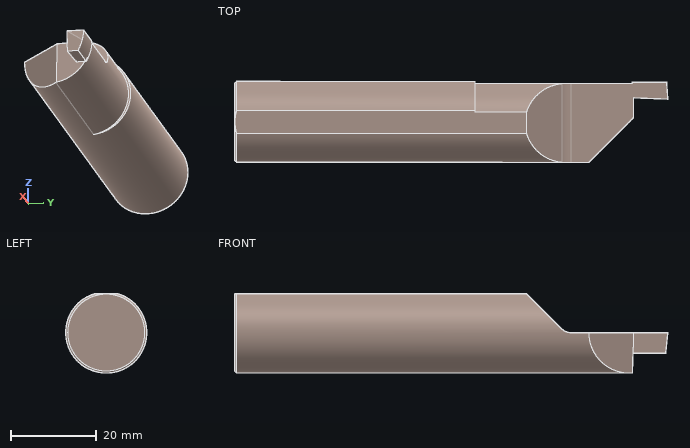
import cadquery as cq
import math

shank_diameter = 19.05
shank_radius = shank_diameter / 2
rear_chamfer = 0.5
flat_height = 9.135
overall_length = 101.6

relief_start = 56.4
relief_side = 9.0
relief_flat_edge = 2.3

floor_height = 0.0
ramp_top = 68.45
ramp_foot = ramp_top + flat_height - floor_height
ramp_fillet = 3.0

nose_end = 93.55
nose_clearance_angle = 1.5
nose_bevel = 10.5

tip_outer_radius = 9.3
tip_root_inner = 5.6
tip_end_inner = 5.3
tip_depth = 4.9
tip_clearance_angle = 6.0
tip_edge_skew = 0.3
tip_overlap = 0.35
tip_root = nose_end - tip_overlap

margin = 5.0


def make_shank():
    """Chamfered bar with the clamping flat along its top."""
    bar = cq.Workplane("YZ").circle(shank_radius).extrude(nose_end)
    bar = bar.faces("<X").chamfer(rear_chamfer)
    above_flat = (
        cq.Workplane("XY", origin=(0, 0, flat_height))
        .rect(2 * overall_length, 2 * shank_diameter)
        .extrude(margin)
    )
    return bar.cut(above_flat)


def make_relief_cutter():
    """Everything outside the relief cylinder, ahead of the relief step."""
    offset = (relief_flat_edge**2 + flat_height**2 - relief_side**2) / (2 * (relief_side - relief_flat_edge))
    radius = relief_side + offset
    start_plane = cq.Plane(origin=(relief_start, -offset, 0), xDir=(0, -1, 0), normal=(1, 0, 0))
    return (
        cq.Workplane(start_plane)
        .circle(radius + margin)
        .circle(radius)
        .extrude(overall_length)
    )


def make_top_cutter():
    """Space above the ramp and the floor, with the filleted inner corner."""
    top = flat_height + margin
    cutter = (
        cq.Workplane("XZ")
        .moveTo(ramp_foot, floor_height)
        .lineTo(overall_length + margin, floor_height)
        .lineTo(overall_length + margin, top)
        .lineTo(ramp_foot - (top - floor_height), top)
        .close()
        .extrude(shank_diameter, both=True)
    )
    corner = cq.selectors.NearestToPointSelector((ramp_foot, 0, floor_height))
    return cutter.edges(corner).fillet(ramp_fillet)


def make_bevel_cutter():
    """Corner block that bevels the -Y side of the nose at 45 degrees."""
    size = nose_bevel + margin
    return (
        cq.Workplane("XY")
        .moveTo(nose_end - nose_bevel - margin, -shank_radius - margin)
        .lineTo(nose_end - nose_bevel + size, -shank_radius - margin)
        .lineTo(nose_end - nose_bevel + size, -shank_radius + size)
        .close()
        .extrude(shank_diameter, both=True)
    )


def make_end_cutter(edge_x, clearance_angle):
    """Space ahead of an end face that leans back below the floor."""
    bottom = -shank_radius - margin
    setback = (floor_height - bottom) * math.tan(math.radians(clearance_angle))
    return (
        cq.Workplane("XZ")
        .moveTo(edge_x, floor_height)
        .lineTo(edge_x - setback, bottom)
        .lineTo(edge_x + margin, bottom)
        .lineTo(edge_x + margin, floor_height)
        .close()
        .extrude(shank_diameter, both=True)
    )


def make_tip():
    """Narrow grooving tip whose outer side is curved within the bar."""
    outline = (
        cq.Workplane("XY", origin=(0, 0, floor_height))
        .moveTo(tip_root, tip_root_inner)
        .lineTo(nose_end, tip_root_inner)
        .lineTo(overall_length, tip_end_inner)
        .lineTo(overall_length - tip_edge_skew, shank_radius)
        .lineTo(tip_root, shank_radius)
        .close()
        .extrude(-tip_depth)
    )
    envelope = cq.Workplane("YZ").circle(tip_outer_radius).extrude(overall_length)
    return outline.intersect(envelope).cut(make_end_cutter(overall_length, tip_clearance_angle))


body = make_shank()
body = body.cut(make_relief_cutter())
body = body.cut(make_top_cutter())
body = body.cut(make_bevel_cutter())
body = body.cut(make_end_cutter(nose_end, nose_clearance_angle))
result = body.union(make_tip())